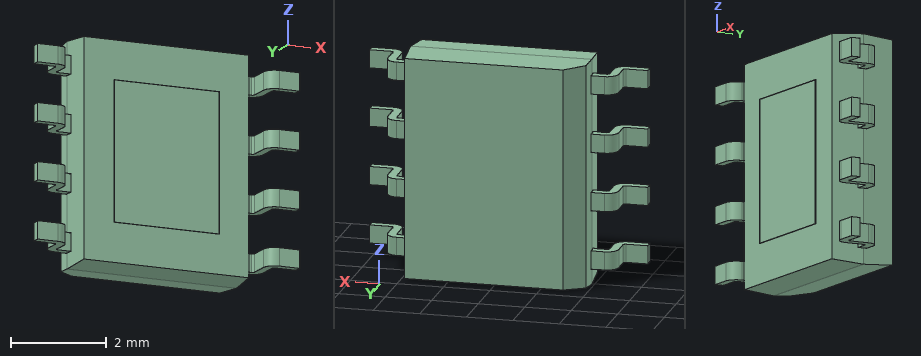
import cadquery as cq
import math


BODY_WIDTH = 3.9
BODY_LENGTH = 4.9
BODY_FRONT_Y = 0.135
BODY_BACK_Y = 1.58
PARTING_Y = (BODY_FRONT_Y + BODY_BACK_Y) / 2
DRAFT_INSET = 0.055

BEVEL_WIDTH = 0.38
BEVEL_DEPTH = 0.32

PAD_WIDTH = 2.41
PAD_LENGTH = 3.06
PAD_PROUD = 0.015

LEAD_SPAN = 6.0
LEADS_PER_SIDE = 4
LEAD_PITCH = 1.27
LEAD_WIDTH = 0.4
LEAD_THICKNESS = 0.2
LEAD_HEIGHT = 0.935
LEG_OUTER_X = 2.48
BEND_INNER_RADIUS = 0.05
BEND_OUTER_RADIUS = BEND_INNER_RADIUS + LEAD_THICKNESS
LEAD_EMBED = 0.3
LEFT_FOOT_RAISE = 0.045
LEFT_SHOULDER_DROP = 0.04


def make_half_body(face_y):
    """Half of the body, narrowing from the parting plane to the face at face_y."""
    return (
        cq.Workplane("XZ", origin=(0, PARTING_Y, 0))
        .rect(BODY_WIDTH, BODY_LENGTH)
        .workplane(offset=PARTING_Y - face_y)
        .rect(BODY_WIDTH - 2 * DRAFT_INSET, BODY_LENGTH - 2 * DRAFT_INSET)
        .loft(ruled=True, combine=True)
    )


def make_bevel_cutter():
    """Triangular prism that removes the -X back edge of the body."""
    slope = BEVEL_DEPTH / BEVEL_WIDTH
    edge_x = -BODY_WIDTH / 2 + DRAFT_INSET
    outer_x = -BODY_WIDTH / 2
    inner_x = edge_x + BEVEL_WIDTH
    outer_y = BODY_BACK_Y - slope * (inner_x - outer_x)
    return (
        cq.Workplane("XY")
        .polyline([(inner_x, BODY_BACK_Y), (outer_x, BODY_BACK_Y), (outer_x, outer_y)])
        .close()
        .extrude(BODY_LENGTH / 2, both=True)
    )


def make_pad():
    """Thermal pad standing slightly proud of the mounting face, rooted in the body."""
    return (
        cq.Workplane("XZ", origin=(0, PARTING_Y, 0))
        .rect(PAD_WIDTH, PAD_LENGTH)
        .extrude(PARTING_Y - BODY_FRONT_Y + PAD_PROUD)
    )


def make_lead(height):
    """One +X lead centred on Z = 0, with its foot on Y = 0."""
    root_x = BODY_WIDTH / 2 - LEAD_EMBED
    tip_x = LEAD_SPAN / 2
    leg_inner_x = LEG_OUTER_X - LEAD_THICKNESS
    shoulder_under_y = height - LEAD_THICKNESS
    upper_center = (leg_inner_x - BEND_INNER_RADIUS, shoulder_under_y - BEND_INNER_RADIUS)
    lower_center = (LEG_OUTER_X + BEND_INNER_RADIUS, LEAD_THICKNESS + BEND_INNER_RADIUS)
    inner_reach = BEND_INNER_RADIUS * math.sqrt(0.5)
    outer_reach = BEND_OUTER_RADIUS * math.sqrt(0.5)
    return (
        cq.Workplane("XY")
        .moveTo(root_x, height)
        .lineTo(upper_center[0], height)
        .threePointArc(
            (upper_center[0] + outer_reach, upper_center[1] + outer_reach),
            (LEG_OUTER_X, upper_center[1]),
        )
        .lineTo(LEG_OUTER_X, lower_center[1])
        .threePointArc(
            (lower_center[0] - inner_reach, lower_center[1] - inner_reach),
            (lower_center[0], LEAD_THICKNESS),
        )
        .lineTo(tip_x, LEAD_THICKNESS)
        .lineTo(tip_x, 0)
        .lineTo(lower_center[0], 0)
        .threePointArc(
            (lower_center[0] - outer_reach, lower_center[1] - outer_reach),
            (leg_inner_x, lower_center[1]),
        )
        .lineTo(leg_inner_x, upper_center[1])
        .threePointArc(
            (upper_center[0] + inner_reach, upper_center[1] + inner_reach),
            (upper_center[0], shoulder_under_y),
        )
        .lineTo(root_x, shoulder_under_y)
        .close()
        .extrude(LEAD_WIDTH / 2, both=True)
    )


body = make_half_body(BODY_FRONT_Y).union(make_half_body(BODY_BACK_Y))
result = body.cut(make_bevel_cutter()).union(make_pad())

right_lead = make_lead(LEAD_HEIGHT)
left_height = LEAD_HEIGHT - LEFT_SHOULDER_DROP - LEFT_FOOT_RAISE
left_lead = make_lead(left_height).mirror("YZ").translate((0, LEFT_FOOT_RAISE, 0))
for index in range(LEADS_PER_SIDE):
    lead_z = (index - (LEADS_PER_SIDE - 1) / 2) * LEAD_PITCH
    result = result.union(right_lead.translate((0, 0, lead_z)))
    result = result.union(left_lead.translate((0, 0, lead_z)))